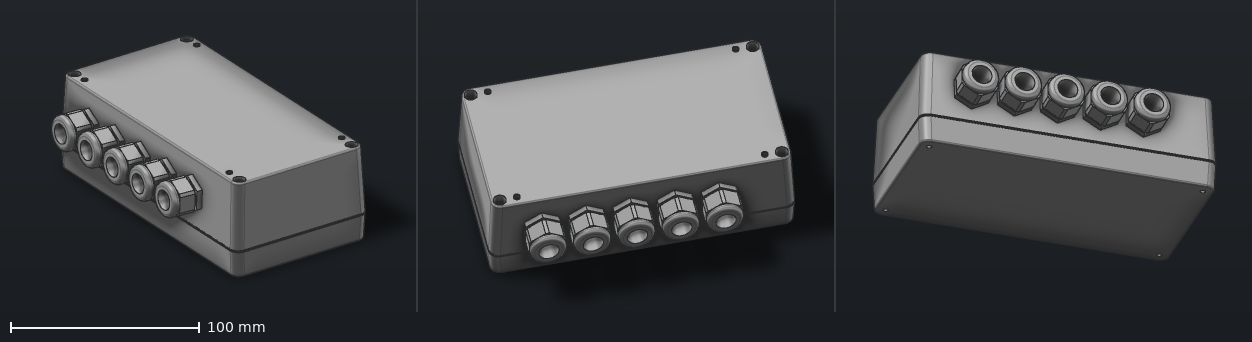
import cadquery as cq
import math

LENGTH = 166.0
WIDTH = 86.0
BOX_TOP = 55.0
COVER_TOP = 15.0
SEAM_GAP = 1.0
SEAM_DEPTH = 0.7
BOX_BOTTOM = COVER_TOP + SEAM_GAP
DRAFT_ANGLE = 2.5
CORNER_RADIUS = 5.3
RIM_RADIUS = 1.0

SCREW_X = 76.5
SCREW_Y = 36.25
SCREW_DIAMETER = 2.8
COUNTERBORE_DIAMETER = 6.8
COUNTERBORE_DEPTH = 35.0
COUNTERBORE_DRAFT = 0.8

RING_X = 67.25
RING_DIAMETER = 3.5
RING_BORE = 2.3
RING_BORE_DEPTH = 2.0
RING_HEIGHT = 0.5

GLAND_COUNT = 5
GLAND_PITCH = 24.0
FIRST_GLAND_X = -55.0
GLAND_Z = 34.15
FLANGE_FLATS = 18.9
FLANGE_THICKNESS = 3.4
NECK_DIAMETER = 17.5
NUT_START = 5.0
NUT_FLATS = 20.0
NUT_CORNER_DIAMETER = 22.0
NUT_HEX_END = 14.7
GLAND_LENGTH = 18.15
DOME_DIAMETER = NUT_FLATS
DOME_RADIUS = 2.3
GLAND_BORE = 11.0


def drafted_block(height):
    """Block on the XY plane with drafted walls, rounded corners and a rounded far rim."""
    block = cq.Workplane("XY").rect(LENGTH, WIDTH).extrude(height, taper=DRAFT_ANGLE)
    block = block.edges("not(#Z)").fillet(CORNER_RADIUS)
    return block.faces(">Z").edges().fillet(RIM_RADIUS)


def corner_points(x, y):
    """The four points mirrored about both centre planes."""
    return [(sx * x, sy * y) for sx in (-1, 1) for sy in (-1, 1)]


def cut_screw_holes(body):
    """Cut the corner screw clearance holes right through a body."""
    holes = cq.Workplane("XY").pushPoints(corner_points(SCREW_X, SCREW_Y))
    return body.cut(holes.circle(SCREW_DIAMETER / 2).extrude(BOX_TOP))


def make_cover():
    """Lower shell with a recessed lip that carries the box and leaves the seam groove."""
    walls = drafted_block(COVER_TOP).mirror("XY").translate((0, 0, COVER_TOP))
    lip = (
        cq.Workplane("XY", origin=(0, 0, COVER_TOP))
        .rect(LENGTH - 2 * SEAM_DEPTH, WIDTH - 2 * SEAM_DEPTH)
        .extrude(SEAM_GAP)
        .edges("|Z")
        .fillet(CORNER_RADIUS - SEAM_DEPTH)
    )
    return cut_screw_holes(walls.union(lip))


def make_box():
    """Upper shell with tapered counterbored screw holes and raised rings on its top face."""
    box = drafted_block(BOX_TOP - BOX_BOTTOM).translate((0, 0, BOX_BOTTOM))
    top = cq.Workplane("XY", origin=(0, 0, BOX_TOP))
    box = cut_screw_holes(box)
    counterbores = top.pushPoints(corner_points(SCREW_X, SCREW_Y)).circle(COUNTERBORE_DIAMETER / 2)
    box = box.cut(counterbores.extrude(-COUNTERBORE_DEPTH, taper=COUNTERBORE_DRAFT))
    rings = top.pushPoints(corner_points(RING_X, SCREW_Y))
    box = box.union(rings.circle(RING_DIAMETER / 2).extrude(RING_HEIGHT))
    bores = top.workplane(offset=RING_HEIGHT).pushPoints(corner_points(RING_X, SCREW_Y))
    return box.cut(bores.circle(RING_BORE / 2).extrude(-RING_BORE_DEPTH))


def hexagon(plane, start, end, flats):
    """Hexagonal prism along the plane normal, corners pointing up and down."""
    across_corners = flats / math.cos(math.pi / 6)
    return (
        cq.Workplane(plane)
        .workplane(offset=start)
        .transformed(rotate=(0, 0, 90))
        .polygon(6, across_corners)
        .extrude(end - start)
    )


def cylinder(plane, start, end, diameter):
    """Round bar along the plane normal."""
    return cq.Workplane(plane).workplane(offset=start).circle(diameter / 2).extrude(end - start)


def make_gland(x):
    """Cable gland: hexagonal flange, neck, hexagonal dome nut and a through bore."""
    slope = math.radians(DRAFT_ANGLE)
    wall_y = -WIDTH / 2 + (GLAND_Z - BOX_BOTTOM) * math.tan(slope)
    plane = cq.Plane(
        origin=(x, wall_y, GLAND_Z),
        xDir=(1, 0, 0),
        normal=(0, -math.cos(slope), math.sin(slope)),
    )
    flange = hexagon(plane, 0, FLANGE_THICKNESS, FLANGE_FLATS)
    neck = cylinder(plane, 0, NUT_START, NECK_DIAMETER)
    nut = hexagon(plane, NUT_START, NUT_HEX_END, NUT_FLATS)
    nut = nut.intersect(cylinder(plane, NUT_START, NUT_HEX_END, NUT_CORNER_DIAMETER))
    dome = cylinder(plane, NUT_START, GLAND_LENGTH, DOME_DIAMETER)
    dome = dome.faces("<Y").edges().fillet(DOME_RADIUS)
    gland = flange.union(neck).union(nut).union(dome)
    return gland.cut(cylinder(plane, 0, GLAND_LENGTH, GLAND_BORE))


cover = make_cover()
box = make_box()
glands = [make_gland(FIRST_GLAND_X + i * GLAND_PITCH) for i in range(GLAND_COUNT)]

result = cq.Compound.makeCompound(
    [cover.val(), box.val(), *[gland.val() for gland in glands]]
)